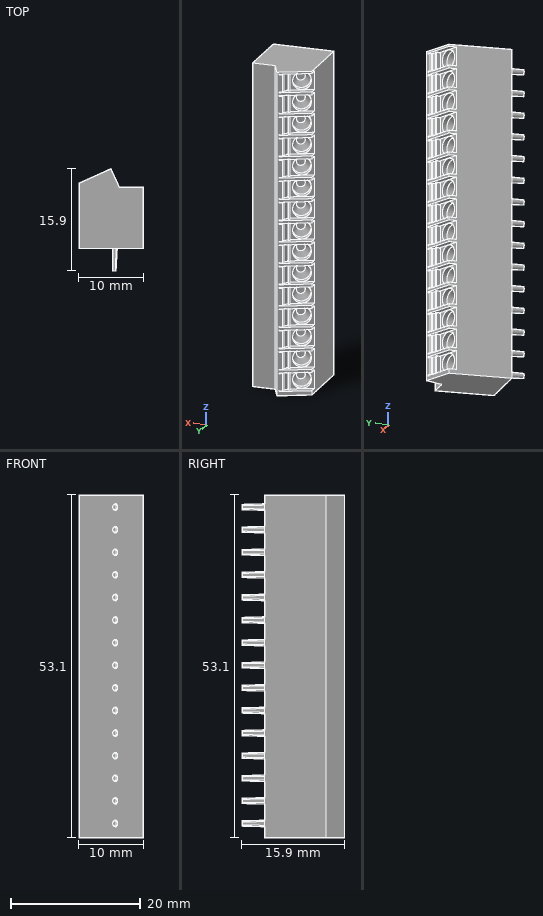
import cadquery as cq
import math

HEIGHT = 53.1
WIDTH = 10.0
RIDGE_Y = 12.35
CORNER_Y = 10.15
LEDGE_Y = 9.5
RIDGE_X = 4.95
LEDGE_X = 6.25

POLES = 15
ROW_LENGTH = 49.0
PITCH = ROW_LENGTH / (POLES - 1)
FIRST_POLE_DROP = 1.85

POCKET_WIDTH = 3.05
POCKET_DEPTH = 1.1
POCKET_END = 5.05
POCKET_OVERSHOOT = 1.6

BUTTON_WIDTH = 2.8
BUTTON_FRONT = 3.35
BUTTON_TOP_DEPTH = 0.3
GROOVE_START = 3.6
GROOVE_END = 4.3
GROOVE_DEPTH = 0.8
STEP_ALONG = 4.5

HOLE_ALONG = 1.45
HOLE_DIAMETER = 2.9
BORE_DEPTH = 0.95
FUNNEL_DEPTH = 1.35
FUNNEL_END_DIAMETER = 1.4

PIN_LEFT_X = 5.2
PIN_LENGTH = 3.5
PIN_EMBED = 0.25
PIN_BASE_RADIUS = 0.55
PIN_TIP_RADIUS = 0.4
PIN_BASE_FLAT_OFFSET = 0.2
PIN_TIP_FLAT_OFFSET = 0.1
PIN_FLAT_HALF = 0.55

SLOPE_ANGLE = math.atan2(RIDGE_Y - CORNER_Y, RIDGE_X)


def slope_point(along, depth):
    """XY position of a point measured along and squarely below the sloped face."""
    x = along * math.cos(SLOPE_ANGLE) + depth * math.sin(SLOPE_ANGLE)
    y = CORNER_Y + along * math.sin(SLOPE_ANGLE) - depth * math.cos(SLOPE_ANGLE)
    return x, y


def slope_prism(points, width, pole_z):
    """Prism centred on a pole, with its outline given as (along, depth) points."""
    outline = [slope_point(along, depth) for along, depth in points]
    base = cq.Workplane("XY").workplane(offset=pole_z - width / 2)
    return base.polyline(outline).close().extrude(width)


def housing():
    outline = [
        (0, 0),
        (WIDTH, 0),
        (WIDTH, LEDGE_Y),
        (LEDGE_X, LEDGE_Y),
        (RIDGE_X, RIDGE_Y),
        (0, CORNER_Y),
    ]
    return cq.Workplane("XY").polyline(outline).close().extrude(HEIGHT)


def entry_pocket(pole_z):
    """Pocket around the button, open towards the slope and the -X side."""
    outline = [
        (-POCKET_OVERSHOOT, POCKET_DEPTH),
        (POCKET_END, POCKET_DEPTH),
        (POCKET_END, -POCKET_OVERSHOOT),
        (-POCKET_OVERSHOOT, -POCKET_OVERSHOOT),
    ]
    return slope_prism(outline, POCKET_WIDTH, pole_z).cut(button(pole_z))


def button(pole_z):
    """Button with a sloping screwdriver groove and a rear step level with the slope."""
    outline = [
        (BUTTON_FRONT, POCKET_DEPTH),
        (BUTTON_FRONT, BUTTON_TOP_DEPTH),
        (GROOVE_START, BUTTON_TOP_DEPTH),
        (GROOVE_START, GROOVE_DEPTH),
        (GROOVE_END, BUTTON_TOP_DEPTH),
        (STEP_ALONG, BUTTON_TOP_DEPTH),
        (STEP_ALONG, 0),
        (POCKET_END, 0),
        (POCKET_END, POCKET_DEPTH),
    ]
    return slope_prism(outline, BUTTON_WIDTH, pole_z)


def wire_hole(pole_z):
    """Bore and funnel, turned about an axis square to the slope."""
    x, y = slope_point(HOLE_ALONG, POCKET_DEPTH)
    inward = (math.sin(SLOPE_ANGLE), -math.cos(SLOPE_ANGLE), 0)
    floor_plane = cq.Plane(origin=(x, y, pole_z), xDir=(0, 0, 1), normal=inward)
    bore = cq.Workplane(floor_plane).circle(HOLE_DIAMETER / 2).extrude(BORE_DEPTH)
    funnel = (
        cq.Workplane(floor_plane)
        .workplane(offset=BORE_DEPTH)
        .circle(HOLE_DIAMETER / 2)
        .workplane(offset=FUNNEL_DEPTH)
        .circle(FUNNEL_END_DIAMETER / 2)
        .loft()
    )
    return bore.union(funnel)


def pin_section(plane, radius, flat_offset):
    """Half-round outline whose round side touches the line at PIN_LEFT_X."""
    centre_x = PIN_LEFT_X + radius
    flat_x = centre_x + flat_offset
    flat_z = PIN_FLAT_HALF * radius
    return (
        plane.moveTo(centre_x, radius)
        .threePointArc((PIN_LEFT_X, 0), (centre_x, -radius))
        .lineTo(flat_x, -flat_z)
        .lineTo(flat_x, flat_z)
        .close()
    )


def pin(pole_z):
    """Tapered pin pointing towards -Y."""
    root = cq.Workplane("XZ", origin=(0, PIN_EMBED, pole_z))
    base = pin_section(root, PIN_BASE_RADIUS, PIN_BASE_FLAT_OFFSET)
    tip_plane = base.workplane(offset=PIN_EMBED + PIN_LENGTH, origin=(0, PIN_EMBED, pole_z))
    return pin_section(tip_plane, PIN_TIP_RADIUS, PIN_TIP_FLAT_OFFSET).loft(ruled=True)


result = housing()
for pole in range(POLES):
    pole_height = HEIGHT - FIRST_POLE_DROP - pole * PITCH
    result = result.cut(entry_pocket(pole_height))
    result = result.cut(wire_hole(pole_height))
    result = result.union(pin(pole_height))